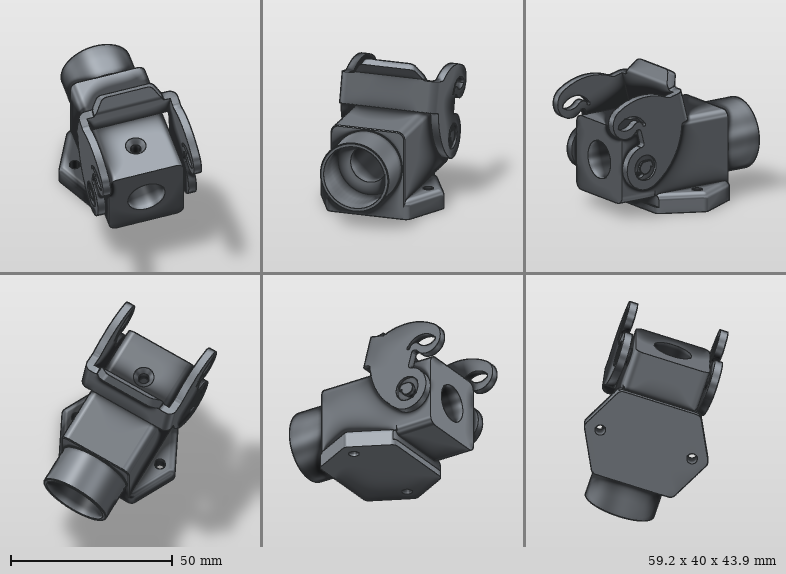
import cadquery as cq
import math


HOUSING_LENGTH = 40.6
HOUSING_WIDTH = 24.1
HOUSING_BOTTOM = 4.6
HOUSING_TOP = 28.45
HOUSING_RADIUS = 2.55
FRONT_CHAMFER = 0.3

TUBE_LENGTH = 12.5
TUBE_DIAMETER = 22.4
TUBE_BORE = 20.15
TUBE_BORE_DEPTH = 13.75
TUBE_CHAMFER = 0.25
TUBE_ROOT_DIAMETER = 22.8
TUBE_ROOT_LENGTH = 0.35
CABLE_HOLE = 12.05
AXIS_Z = (HOUSING_BOTTOM + HOUSING_TOP) / 2

FLANGE_LENGTH = 28.15
FLANGE_WIDTH = 40.0
FLANGE_SLOPE = 27
FLANGE_HEIGHT = 6.05
FLANGE_RADIUS = 2.0
FLANGE_TOP_RADIUS = 1.95
FOOT_HEIGHT = 2.0
UPPER_FLANGE_LENGTH = 27.5
PEDESTAL_LENGTH = 28.0
PEDESTAL_TOP = 7.2
LEDGE_Z = 5.75
MOUNT_HOLE = 3.25
MOUNT_HOLE_Y = 14.95

SCREW_X = 29.45
SCREW_HOLE = 3.25
SCREW_SINK = 6.35

PIVOT = (34.45, AXIS_Z)
PIVOT_RADIUS = 7.0
LEVER_HALF_WIDTH = 15.95
SHEET = 2.5
LEVER_TILT = 15
BRIDGE_CORNER = (17.25, 29.4)
BRIDGE_HEIGHT = 9.85
HEEL_SIZE = 1.0
HEEL_BULGE = (0.7, -0.3)
BACK_ARC_MID = (23.4, 18.45)
BACK_ARC_END_ANGLE = 236
SADDLE_START = (24.4, 37.75)
SADDLE_MID = (25.25, 37.6)
CREST_START = (26.0, 37.7)
CREST_CENTER = (33.25, 18.95)
CREST_RADIUS = 20.3
HOOK_CENTER = (41.7, 31.95)
HOOK_RADIUS = 5.05
HOOK_END_ANGLE = -120
THROAT_START = (38.05, 28.7)
THROAT_TOP = (37.1, 29.2)
THROAT_END = (36.15, 28.6)
NECK_END = (35.0, 24.55)
NECK_CORNER = (35.15, 23.75)
NECK_PIVOT_ANGLE = 76

EYE_SLOT_LEFT = (34.55, 30.8)
EYE_TOP_START = (35.9, 32.3)
EYE_TOP_MID = (39.8, 33.85)
EYE_TOP_END = (44.5, 31.9)
EYE_NOSE = (44.8, 31.3)
EYE_BOTTOM_START = (44.7, 30.65)
EYE_BOTTOM_MID = (41.7, 29.6)
EYE_BOTTOM_END = (38.65, 31.1)
EYE_HUMP_MID = (37.2, 31.65)
EYE_HUMP_END = (36.0, 31.3)
EYE_SLOT_RIGHT = (35.4, 30.3)
EYE_SLOT_BOTTOM = (34.8, 30.0)

TAB_TILT = -30
TAB_FOOT_HEIGHT = 0.4
TAB_FOOT_HALF_WIDTH = 12.2
TAB_HALF_WIDTH = 11.15
TAB_FOOT_FILLET = 1.6
TAB_LENGTH = 3.9
TAB_SIDE_ANGLE = 30
TAB_BACK_INSET = 1.0
TAB_CORNER_RADIUS = 2.1

SHOULDER_RADIUS = 2.55
SHOULDER_FLARE = 0.3
RECESS_RADIUS = 4.05
RECESS_DEPTH = 0.9
PIN_RADIUS = 2.15
PIN_HEIGHT = 0.9
PIN_CHAMFER = 0.2
KEY_LENGTH = 2.95
KEY_MID_ANGLE = 155
LOBE_OFFSET = (1.5, -1.95)
LOBE_RADIUS = 1.3


def shifted(point, distance, angle):
    """Point at a distance from another one, in the direction of an angle in degrees."""
    turn = math.radians(angle)
    return (point[0] + distance * math.cos(turn), point[1] + distance * math.sin(turn))


def side_plane(y):
    """Plane with local axes X and Z at the given Y; extrusion runs toward -Y."""
    return cq.Workplane("XZ", origin=(0, y, 0))


def sheet_plane(point, tilt):
    """Plane of a sheet that leans by tilt toward +X: local x is Y, local y runs up the sheet."""
    turn = math.radians(tilt)
    normal = (math.cos(turn), 0, -math.sin(turn))
    return cq.Workplane(cq.Plane(origin=(point[0], 0, point[1]), xDir=(0, 1, 0), normal=normal))


def x_cylinder(diameter, start, length):
    return cq.Workplane("YZ", origin=(start, 0, AXIS_Z)).circle(diameter / 2).extrude(length)


def block(x_min, x_max, width, z_min, z_max):
    size = (x_max - x_min, width, z_max - z_min)
    return cq.Workplane("XY").box(*size, centered=(False, True, False)).translate((x_min, 0, z_min))


def make_housing():
    body = block(0, HOUSING_LENGTH, HOUSING_WIDTH, HOUSING_BOTTOM, HOUSING_TOP)
    body = body.edges("|X").fillet(HOUSING_RADIUS)
    pedestal = block(0, UPPER_FLANGE_LENGTH, HOUSING_WIDTH, FOOT_HEIGHT, PEDESTAL_TOP)
    ledge = block(0, PEDESTAL_LENGTH, HOUSING_WIDTH, LEDGE_Z, PEDESTAL_TOP)
    return body.union(pedestal).union(ledge).faces("<X").edges("not <Z").chamfer(FRONT_CHAMFER)


def make_flange():
    apex_x = FLANGE_LENGTH / 2
    slope = math.radians(FLANGE_SLOPE)
    apex_y = FLANGE_WIDTH / 2 + FLANGE_RADIUS * (1 / math.cos(slope) - 1)
    corner_y = apex_y - apex_x * math.tan(slope)
    outline = [
        (0, -corner_y),
        (apex_x, -apex_y),
        (FLANGE_LENGTH, -corner_y),
        (FLANGE_LENGTH, corner_y),
        (apex_x, apex_y),
        (0, corner_y),
    ]
    flange = cq.Workplane("XY").polyline(outline).close().extrude(FLANGE_HEIGHT)
    flange = flange.edges("|Z").fillet(FLANGE_RADIUS)
    flange = flange.faces(">Z").edges("not |Y").fillet(FLANGE_TOP_RADIUS)
    flange = flange.cut(
        block(UPPER_FLANGE_LENGTH, FLANGE_LENGTH, FLANGE_WIDTH, FOOT_HEIGHT, FLANGE_HEIGHT)
    )
    holes = cq.Workplane("XY").pushPoints([(apex_x, MOUNT_HOLE_Y), (apex_x, -MOUNT_HOLE_Y)])
    return flange.cut(holes.circle(MOUNT_HOLE / 2).extrude(FLANGE_HEIGHT))


def make_tube():
    tube = x_cylinder(TUBE_DIAMETER, -TUBE_LENGTH, TUBE_LENGTH).faces("<X").chamfer(TUBE_CHAMFER)
    return tube.union(x_cylinder(TUBE_ROOT_DIAMETER, -TUBE_ROOT_LENGTH, TUBE_ROOT_LENGTH + FRONT_CHAMFER))


def make_lever_plate():
    """Plate on the -Y side, cut with the eye of the spring hook."""
    bridge_bottom = shifted(BRIDGE_CORNER, SHEET, -LEVER_TILT)
    bridge_top = shifted(bridge_bottom, BRIDGE_HEIGHT, 90 - LEVER_TILT)
    heel_middle = (bridge_bottom[0] + HEEL_BULGE[0], bridge_bottom[1] + HEEL_BULGE[1])
    heel_end = (bridge_bottom[0] + HEEL_SIZE, bridge_bottom[1] - HEEL_SIZE)
    crest_top = shifted(CREST_CENTER, CREST_RADIUS, 90)
    hook_rise = HOOK_CENTER[1] - CREST_CENTER[1]
    hook_run = HOOK_CENTER[0] - CREST_CENTER[0]
    hook_start = shifted(HOOK_CENTER, HOOK_RADIUS, math.degrees(math.atan2(hook_rise, hook_run)))
    hook_nose = shifted(HOOK_CENTER, HOOK_RADIUS, 0)
    hook_end = shifted(HOOK_CENTER, HOOK_RADIUS, HOOK_END_ANGLE)
    pivot_start = shifted(PIVOT, PIVOT_RADIUS, NECK_PIVOT_ANGLE)
    pivot_right = shifted(PIVOT, PIVOT_RADIUS, 0)
    pivot_end = shifted(PIVOT, PIVOT_RADIUS, BACK_ARC_END_ANGLE)
    inner_face = side_plane(SHEET - LEVER_HALF_WIDTH)
    plate = (
        inner_face
        .moveTo(*bridge_top)
        .lineTo(*SADDLE_START)
        .threePointArc(SADDLE_MID, CREST_START)
        .threePointArc(crest_top, hook_start)
        .threePointArc(hook_nose, hook_end)
        .lineTo(*THROAT_START)
        .threePointArc(THROAT_TOP, THROAT_END)
        .lineTo(*NECK_END)
        .threePointArc(NECK_CORNER, pivot_start)
        .threePointArc(pivot_right, pivot_end)
        .threePointArc(BACK_ARC_MID, heel_end)
        .threePointArc(heel_middle, bridge_bottom)
        .close()
        .extrude(SHEET)
    )
    eye = (
        inner_face
        .moveTo(*EYE_SLOT_LEFT)
        .lineTo(*EYE_TOP_START)
        .threePointArc(EYE_TOP_MID, EYE_TOP_END)
        .threePointArc(EYE_NOSE, EYE_BOTTOM_START)
        .threePointArc(EYE_BOTTOM_MID, EYE_BOTTOM_END)
        .threePointArc(EYE_HUMP_MID, EYE_HUMP_END)
        .lineTo(*EYE_SLOT_RIGHT)
        .threePointArc(EYE_SLOT_BOTTOM, EYE_SLOT_LEFT)
        .close()
        .extrude(SHEET)
    )
    return plate.cut(eye)


def make_pivot():
    """Shoulder, recess and keyed pin head of the -Y side: material to cut, then material to add."""
    outer = -LEVER_HALF_WIDTH
    floor = outer + RECESS_DEPTH
    inner = outer + SHEET
    wall = -HOUSING_WIDTH / 2
    recess = side_plane(floor).center(*PIVOT).circle(RECESS_RADIUS).extrude(RECESS_DEPTH)
    reach = math.hypot(*LOBE_OFFSET)
    lobe_angle = math.degrees(math.atan2(LOBE_OFFSET[1], LOBE_OFFSET[0]))
    spread = math.degrees(math.acos((PIN_RADIUS - LOBE_RADIUS) / reach))
    lobe = (
        side_plane(inner)
        .center(*PIVOT)
        .moveTo(*shifted((0, 0), PIN_RADIUS, lobe_angle - spread))
        .lineTo(*shifted(LOBE_OFFSET, LOBE_RADIUS, lobe_angle - spread))
        .threePointArc(
            shifted(LOBE_OFFSET, LOBE_RADIUS, lobe_angle),
            shifted(LOBE_OFFSET, LOBE_RADIUS, lobe_angle + spread),
        )
        .lineTo(*shifted((0, 0), PIN_RADIUS, lobe_angle + spread))
        .close()
        .extrude(SHEET)
    )
    pin_base = side_plane(wall).center(*PIVOT)
    shoulder = pin_base.circle(SHOULDER_RADIUS).extrude(wall - inner)
    flare = (
        pin_base
        .circle(SHOULDER_RADIUS + SHOULDER_FLARE)
        .workplane(offset=SHOULDER_FLARE)
        .circle(SHOULDER_RADIUS)
        .loft()
    )
    core = pin_base.circle(PIN_RADIUS).extrude(wall - floor)
    head = (
        side_plane(floor)
        .center(*PIVOT)
        .moveTo(0, PIN_RADIUS)
        .lineTo(-PIN_RADIUS, PIN_RADIUS)
        .threePointArc(shifted((0, 0), KEY_LENGTH, KEY_MID_ANGLE), (-KEY_LENGTH, 0))
        .lineTo(-PIN_RADIUS, 0)
        .threePointArc(shifted((0, 0), PIN_RADIUS, -45), (0, PIN_RADIUS))
        .close()
        .extrude(PIN_HEIGHT)
        .faces("<Y")
        .chamfer(PIN_CHAMFER)
    )
    return recess.union(lobe), shoulder.union(flare).union(core).union(head)


def make_bridge():
    """Cross sheet that joins both lever plates, with rounded outer bends."""
    turn = math.radians(LEVER_TILT)
    plane = cq.Plane(
        origin=(BRIDGE_CORNER[0], 0, BRIDGE_CORNER[1]),
        xDir=(math.cos(turn), 0, -math.sin(turn)),
        normal=(math.sin(turn), 0, math.cos(turn)),
    )
    straight = LEVER_HALF_WIDTH - SHEET
    return (
        cq.Workplane(plane)
        .moveTo(SHEET, -LEVER_HALF_WIDTH)
        .radiusArc((0, -straight), SHEET)
        .lineTo(0, straight)
        .radiusArc((SHEET, LEVER_HALF_WIDTH), SHEET)
        .close()
        .extrude(BRIDGE_HEIGHT)
    )


def make_tab():
    """Thumb tab: flared foot, sharp inner bend and tapered blade with rounded corners."""
    root = shifted(BRIDGE_CORNER, BRIDGE_HEIGHT, 90 - LEVER_TILT)
    bend = shifted(root, TAB_FOOT_HEIGHT, 90 - LEVER_TILT)
    foot = (
        sheet_plane(root, LEVER_TILT)
        .moveTo(-TAB_FOOT_HALF_WIDTH, 0)
        .lineTo(TAB_FOOT_HALF_WIDTH, 0)
        .radiusArc((TAB_HALF_WIDTH, TAB_FOOT_HEIGHT), TAB_FOOT_FILLET)
        .lineTo(-TAB_HALF_WIDTH, TAB_FOOT_HEIGHT)
        .radiusArc((-TAB_FOOT_HALF_WIDTH, 0), TAB_FOOT_FILLET)
        .close()
        .extrude(SHEET)
    )
    tip = shifted(bend, TAB_LENGTH, 90 - TAB_TILT)
    strip = (
        side_plane(TAB_FOOT_HALF_WIDTH)
        .moveTo(*bend)
        .lineTo(*shifted(bend, SHEET, -LEVER_TILT))
        .threePointArc(
            shifted(bend, SHEET, -(LEVER_TILT + TAB_TILT) / 2), shifted(bend, SHEET, -TAB_TILT)
        )
        .lineTo(*shifted(tip, SHEET, -TAB_TILT))
        .lineTo(*tip)
        .close()
        .extrude(2 * TAB_FOOT_HALF_WIDTH)
    )
    side_slope = math.tan(math.radians(TAB_SIDE_ANGLE))
    low = -SHEET
    low_half = TAB_HALF_WIDTH - low * side_slope
    tip_half = TAB_HALF_WIDTH - TAB_LENGTH * side_slope
    front_outline, back_outline = [
        [
            (inset - low_half, low),
            (low_half - inset, low),
            (tip_half - inset, TAB_LENGTH),
            (inset - tip_half, TAB_LENGTH),
        ]
        for inset in (0, TAB_BACK_INSET)
    ]
    wedge = (
        sheet_plane(bend, TAB_TILT)
        .polyline(front_outline)
        .close()
        .workplane(offset=SHEET)
        .polyline(back_outline)
        .close()
        .loft(ruled=True)
    )
    turn = math.radians(TAB_TILT)
    up_the_tab = cq.Vector(math.sin(turn), 0, math.cos(turn))
    end_face = cq.DirectionMinMaxSelector(up_the_tab)
    blade = strip.intersect(wedge).faces(end_face).edges("not |Y").fillet(TAB_CORNER_RADIUS)
    return foot.union(blade)


def make_bores():
    cable = x_cylinder(TUBE_BORE, -TUBE_LENGTH, TUBE_BORE_DEPTH).union(
        x_cylinder(CABLE_HOLE, 0, HOUSING_LENGTH)
    )
    sink_depth = (SCREW_SINK - SCREW_HOLE) / 2
    roof = cq.Workplane("XY", origin=(SCREW_X, 0, HOUSING_TOP))
    screw = roof.circle(SCREW_HOLE / 2).extrude(AXIS_Z - HOUSING_TOP)
    sink = roof.circle(SCREW_SINK / 2).workplane(offset=-sink_depth).circle(SCREW_HOLE / 2).loft()
    return cable.union(screw).union(sink)


pivot_cut, pivot_pin = make_pivot()
lever_side = make_lever_plate().cut(pivot_cut).union(pivot_pin)

result = (
    make_housing()
    .union(make_flange())
    .union(make_tube())
    .cut(make_bores())
    .union(lever_side)
    .union(lever_side.mirror("XZ"))
    .union(make_bridge())
    .union(make_tab())
)